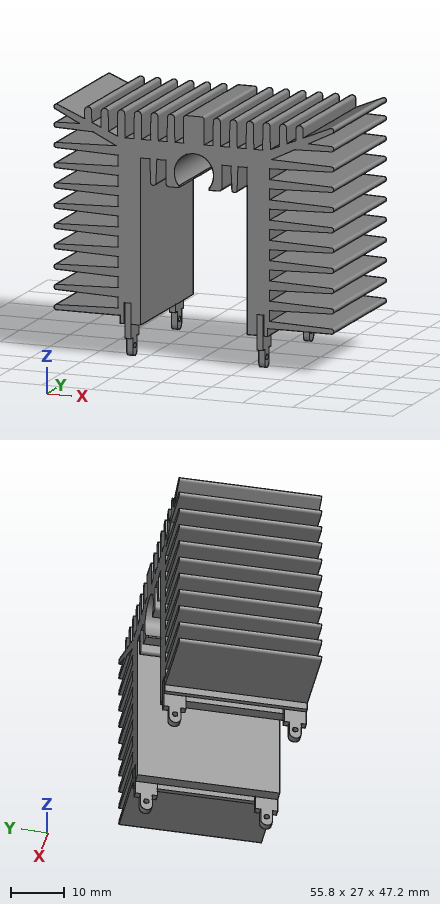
import cadquery as cq
import math


half_width = 27.9
length = 27.0
height = 40.8

wall_inner = 10.6
wall_outer = 15.1
plate_bottom = 31.9
plate_top = 35.5
foot_outer = 14.75
foot_height = 1.5

side_fin_count = 10
side_tip_width = 1.0
side_root_width = 1.8
lowest_side_fin_z = foot_height + side_tip_width / 2
highest_side_fin_z = 36.85
side_fin_pitch = (highest_side_fin_z - lowest_side_fin_z) / (side_fin_count - 1)
highest_fin_root_x = 20.1
highest_fin_root_width = 1.45

top_fin_count = 6
first_top_fin_x = 4.6
last_top_fin_x = 21.1
top_fin_pitch = (last_top_fin_x - first_top_fin_x) / (top_fin_count - 1)
top_tip_width = 1.4
top_root_width = 1.55

corner_tip_width = 1.0
corner_root_width = 1.95
corner_root = (13.4, 33.85)
corner_tip = (half_width - corner_tip_width / 2, height - corner_tip_width / 2)
corner_slope = (corner_tip[1] - corner_root[1]) / (corner_tip[0] - corner_root[0])

block_half_width = 2.05
block_edge_radius = 0.5
boss_half_width = 5.6
boss_bottom = 26.9
boss_edge_radius = 0.65
bore_radius = 3.9
bore_z = 29.75
mouth_half_width = 3.0

inner_fin_x = 8.1
inner_tip_width = 1.05
inner_root_width = 1.4

tab_inner = 12.55
tab_thickness = 1.2
tab_length = 4.2
tab_top = 4.0
tab_shoulder_z = -2.8
tab_bottom = -6.4
tongue_width = 2.25
tab_hole_diameter = 1.0
tab_hole_z = -4.4
slot_clearance = 0.15

sides = (-1, 1)


def bar(x_min, x_max, z_min, z_max):
    """Rectangular prism over the whole extrusion length."""
    return (
        cq.Workplane("XY")
        .box(x_max - x_min, length, z_max - z_min)
        .translate(((x_min + x_max) / 2, 0, (z_min + z_max) / 2))
    )


def tapered_fin(root, tip_centre, root_width, tip_width):
    """Fin that narrows from its root to a round tip."""
    dx = tip_centre[0] - root[0]
    dz = tip_centre[1] - root[1]
    fin_length = math.hypot(dx, dz)
    along = (dx / fin_length, dz / fin_length)

    def point(base, forward, sideways):
        return (
            base[0] + forward * along[0] - sideways * along[1],
            base[1] + forward * along[1] + sideways * along[0],
        )

    root_half = root_width / 2
    tip_half = tip_width / 2
    return (
        cq.Workplane("XZ")
        .moveTo(*point(root, 0, root_half))
        .lineTo(*point(tip_centre, 0, tip_half))
        .threePointArc(point(tip_centre, tip_half, 0), point(tip_centre, 0, -tip_half))
        .lineTo(*point(root, 0, -root_half))
        .close()
        .extrude(length / 2, both=True)
    )


def make_channel():
    channel = bar(-wall_outer, wall_outer, 0, plate_top)
    return channel.cut(bar(-wall_inner, wall_inner, 0, plate_bottom))


def make_central_block():
    block = bar(-block_half_width, block_half_width, plate_bottom, height)
    block = block.edges("|Y and >Z").fillet(block_edge_radius)
    boss = bar(-boss_half_width, boss_half_width, boss_bottom, plate_top)
    boss = boss.edges("|Y and <Z").fillet(boss_edge_radius)
    return block.union(boss)


def make_bore():
    bore = (
        cq.Workplane("XZ")
        .center(0, bore_z)
        .circle(bore_radius)
        .extrude(length / 2, both=True)
    )
    mouth_z = bore_z - math.sqrt(bore_radius**2 - mouth_half_width**2)
    bore = bore.cut(bar(-bore_radius, bore_radius, bore_z - bore_radius, mouth_z))
    return bore.union(bar(-mouth_half_width, mouth_half_width, boss_bottom, bore_z))


def make_side_fins(side):
    root_x = side * wall_outer
    tip_x = side * (half_width - side_tip_width / 2)
    fins = []
    for i in range(side_fin_count - 1):
        z = lowest_side_fin_z + i * side_fin_pitch
        fins.append(tapered_fin((root_x, z), (tip_x, z), side_root_width, side_tip_width))
    highest_fin = tapered_fin(
        (side * highest_fin_root_x, highest_side_fin_z),
        (tip_x, highest_side_fin_z),
        highest_fin_root_width,
        side_tip_width,
    )
    return fins + [highest_fin]


def make_top_fins(side):
    tip_z = height - top_tip_width / 2
    fins = []
    for i in range(top_fin_count):
        distance = first_top_fin_x + i * top_fin_pitch
        x = side * distance
        corner_z = corner_root[1] + corner_slope * (distance - corner_root[0])
        root_z = max(plate_top, corner_z)
        taper_share = (tip_z - root_z) / (tip_z - plate_top)
        root_width = top_tip_width + (top_root_width - top_tip_width) * taper_share
        fins.append(tapered_fin((x, root_z), (x, tip_z), root_width, top_tip_width))
    return fins


def make_corner_fin(side):
    root = (side * corner_root[0], corner_root[1])
    tip = (side * corner_tip[0], corner_tip[1])
    return tapered_fin(root, tip, corner_root_width, corner_tip_width)


def make_inner_fin(side):
    x = side * inner_fin_x
    tip_z = boss_bottom + inner_tip_width / 2
    return tapered_fin((x, plate_bottom), (x, tip_z), inner_root_width, inner_tip_width)


def mirrored_bar(side, x_near, x_far, z_min, z_max):
    """Bar between two distances from the centre plane, on the given side."""
    x_min, x_max = sorted((side * x_near, side * x_far))
    return bar(x_min, x_max, z_min, z_max)


def make_heat_sink():
    sink = make_channel().union(make_central_block()).cut(make_bore())
    for side in sides:
        fins = make_side_fins(side) + make_top_fins(side)
        fins += [make_corner_fin(side), make_inner_fin(side)]
        for fin in fins:
            sink = sink.union(fin)
        sink = sink.cut(mirrored_bar(side, foot_outer, half_width, 0, foot_height))
        slot_outer = tab_inner + tab_thickness + slot_clearance
        sink = sink.cut(mirrored_bar(side, tab_inner, slot_outer, 0, tab_top))
    return sink


def make_tab(x_side, y_side):
    """Flat tab with a round-ended, drilled tongue, flush with one end of the sink."""
    centre_x = x_side * (tab_inner + tab_thickness / 2)
    centre_y = y_side * (length - tab_length) / 2
    tongue_radius = tongue_width / 2
    tongue_end_z = tab_bottom + tongue_radius
    tab = (
        cq.Workplane("YZ")
        .moveTo(-tab_length / 2, tab_top)
        .lineTo(-tab_length / 2, tab_shoulder_z)
        .lineTo(-tongue_radius, tab_shoulder_z)
        .lineTo(-tongue_radius, tongue_end_z)
        .threePointArc((0, tab_bottom), (tongue_radius, tongue_end_z))
        .lineTo(tongue_radius, tab_shoulder_z)
        .lineTo(tab_length / 2, tab_shoulder_z)
        .lineTo(tab_length / 2, tab_top)
        .close()
        .extrude(tab_thickness / 2, both=True)
    )
    hole = (
        cq.Workplane("YZ")
        .center(0, tab_hole_z)
        .circle(tab_hole_diameter / 2)
        .extrude(tab_thickness, both=True)
    )
    return tab.cut(hole).translate((centre_x, centre_y, 0))


heat_sink = make_heat_sink()
tabs = [make_tab(x_side, y_side) for x_side in sides for y_side in sides]

result = cq.Compound.makeCompound([heat_sink.val(), *[tab.val() for tab in tabs]])